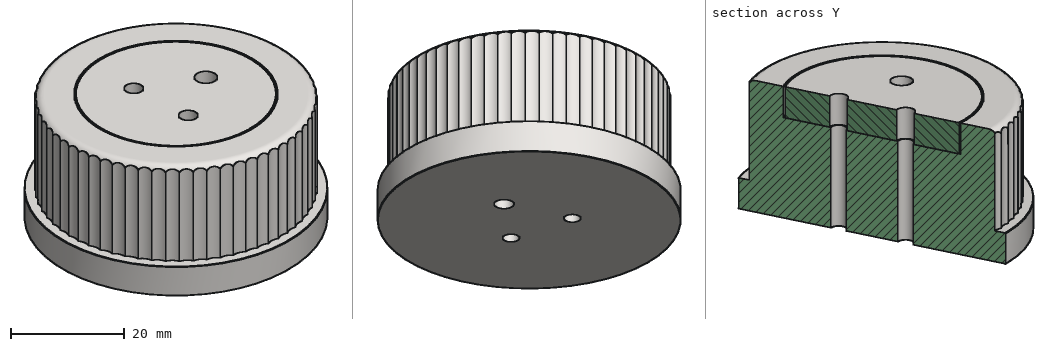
import cadquery as cq
import math

flange_diameter = 53.35
flange_radius = flange_diameter / 2
flange_height = 6.05
flange_edge_chamfer = 0.1
housing_height = 25.4

rim_radius = 24.95
rim_fillet = 1.7

flute_count = 64
flute_angle = 360 / flute_count
ridge_radius = 24.85
valley_radius = 24.55

recess_radius = 17.9
rim_gap = 0.25
insert_radius = recess_radius - rim_gap
insert_edge_chamfer = 0.1
insert_thickness = 6.0
recess_floor = housing_height - insert_thickness

hole_circle_radius = 7.65
large_hole_angle = 90
small_hole_angles = (210, 330)

large_hole_top_radius = 2.05
large_hole_bottom_radius = 1.75

small_hole_insert_radius = 1.7
small_hole_floor_radius = 1.5


def polar_point(radius, angle):
    """X, Y of the point at a radius from the main axis and an angle in degrees."""
    return (
        radius * math.cos(math.radians(angle)),
        radius * math.sin(math.radians(angle)),
    )


def make_large_hole():
    """Tapered cutter through both bodies."""
    x, y = polar_point(hole_circle_radius, large_hole_angle)
    cone = cq.Solid.makeCone(
        large_hole_bottom_radius, large_hole_top_radius, housing_height, pnt=cq.Vector(x, y, 0)
    )
    return cq.Workplane(cone)


def make_small_holes(radius):
    """Pair of straight cutters through the full height."""
    centers = [polar_point(hole_circle_radius, angle) for angle in small_hole_angles]
    return cq.Workplane("XY").pushPoints(centers).circle(radius).extrude(housing_height)


def make_fluted_prism():
    """Full-height prism whose outline is a ring of inward-bulging arcs."""
    outline = cq.Workplane("XY").moveTo(ridge_radius, 0)
    for index in range(flute_count):
        valley = polar_point(valley_radius, index * flute_angle + flute_angle / 2)
        ridge = polar_point(ridge_radius, (index + 1) * flute_angle)
        outline = outline.threePointArc(valley, ridge)
    return outline.close().extrude(housing_height)


def make_housing():
    rounded_envelope = (
        cq.Workplane("XY")
        .circle(rim_radius)
        .extrude(housing_height)
        .faces(">Z")
        .edges()
        .fillet(rim_fillet)
    )
    grip = make_fluted_prism().intersect(rounded_envelope)
    flange = (
        cq.Workplane("XY")
        .circle(flange_radius)
        .extrude(flange_height)
        .edges()
        .chamfer(flange_edge_chamfer)
    )
    recess = (
        cq.Workplane("XY", origin=(0, 0, recess_floor))
        .circle(recess_radius)
        .extrude(insert_thickness)
    )
    return (
        grip.union(flange)
        .cut(recess)
        .cut(make_large_hole())
        .cut(make_small_holes(small_hole_floor_radius))
    )


def make_insert():
    plate = (
        cq.Workplane("XY", origin=(0, 0, recess_floor))
        .circle(insert_radius)
        .extrude(insert_thickness)
        .faces(">Z")
        .edges()
        .chamfer(insert_edge_chamfer)
    )
    return plate.cut(make_large_hole()).cut(make_small_holes(small_hole_insert_radius))


housing = make_housing()
insert = make_insert()

result = cq.Compound.makeCompound([housing.val(), insert.val()])